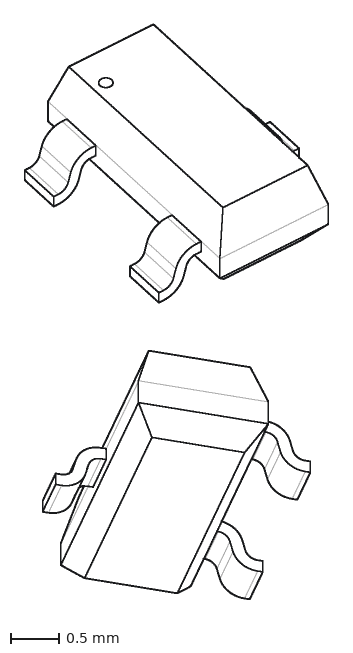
import cadquery as cq
import math

length = 3.0
depth = 1.4
top_inset = 0.153
bottom_inset = 0.2
standoff = 0.02
belt_bottom = 0.288
belt_top = 0.57
total_height = 1.09

overall_depth = 2.49
lead_width = 0.507
lead_thickness = 0.14
lead_top = 0.565
lead_offset_x = 0.918
inner_radius = 0.132
outer_radius = inner_radius + lead_thickness
bend_angle = math.radians(75)

marker_diameter = 0.15
marker_depth = 0.03
marker_x = -lead_offset_x
marker_y = -0.385


def tapered_half(belt_z, end_z, inset):
    """Frustum from the full belt outline to a face inset on all sides."""
    return (
        cq.Workplane("XY", origin=(0, 0, belt_z))
        .rect(length, depth)
        .workplane(offset=end_z - belt_z)
        .rect(length - 2 * inset, depth - 2 * inset)
        .loft(ruled=True)
    )


def make_marker():
    return (
        cq.Workplane("XY", origin=(marker_x, marker_y, total_height - marker_depth))
        .circle(marker_diameter / 2)
        .extrude(marker_depth)
    )


def make_housing():
    belt = (
        cq.Workplane("XY", origin=(0, 0, belt_bottom))
        .rect(length, depth)
        .extrude(belt_top - belt_bottom)
    )
    upper = tapered_half(belt_top, total_height, top_inset)
    lower = tapered_half(belt_bottom, standoff, bottom_inset)
    return belt.union(upper).union(lower).cut(make_marker())


def arc_point(center, radius, angle):
    return (center[0] + radius * math.sin(angle), center[1] + radius * math.cos(angle))


def make_lead(x_center):
    """Lead on the +Y side: flat shoulder, bend down, sloping shank, bend out, foot."""
    root_y = depth / 2
    tip_y = overall_depth / 2

    bend_radii = inner_radius + outer_radius
    drop = lead_top - lead_thickness
    shank = (drop - bend_radii * (1 - math.cos(bend_angle))) / math.sin(bend_angle)
    bend_reach = bend_radii * math.sin(bend_angle) + shank * math.cos(bend_angle)
    flat = (tip_y - root_y - bend_reach) / 2

    shoulder_center = (root_y + flat, lead_top - outer_radius)
    foot_center = (tip_y - flat, outer_radius)
    half_bend = bend_angle / 2
    foot_mid = math.pi + half_bend
    foot_end = math.pi + bend_angle

    return (
        cq.Workplane("YZ", origin=(x_center - lead_width / 2, 0, 0))
        .moveTo(root_y, lead_top)
        .lineTo(root_y + flat, lead_top)
        .threePointArc(
            arc_point(shoulder_center, outer_radius, half_bend),
            arc_point(shoulder_center, outer_radius, bend_angle),
        )
        .lineTo(*arc_point(foot_center, inner_radius, foot_end))
        .threePointArc(
            arc_point(foot_center, inner_radius, foot_mid),
            (tip_y - flat, lead_thickness),
        )
        .lineTo(tip_y, lead_thickness)
        .lineTo(tip_y, 0)
        .lineTo(tip_y - flat, 0)
        .threePointArc(
            arc_point(foot_center, outer_radius, foot_mid),
            arc_point(foot_center, outer_radius, foot_end),
        )
        .lineTo(*arc_point(shoulder_center, inner_radius, bend_angle))
        .threePointArc(
            arc_point(shoulder_center, inner_radius, half_bend),
            (root_y + flat, lead_top - lead_thickness),
        )
        .lineTo(root_y, lead_top - lead_thickness)
        .close()
        .extrude(lead_width)
    )


housing = make_housing()
marker = make_marker()

leads = [make_lead(0)]
for x_center in (-lead_offset_x, lead_offset_x):
    leads.append(make_lead(x_center).mirror("XZ"))

result = cq.Compound.makeCompound(
    [housing.val(), marker.val(), *[lead.val() for lead in leads]]
)